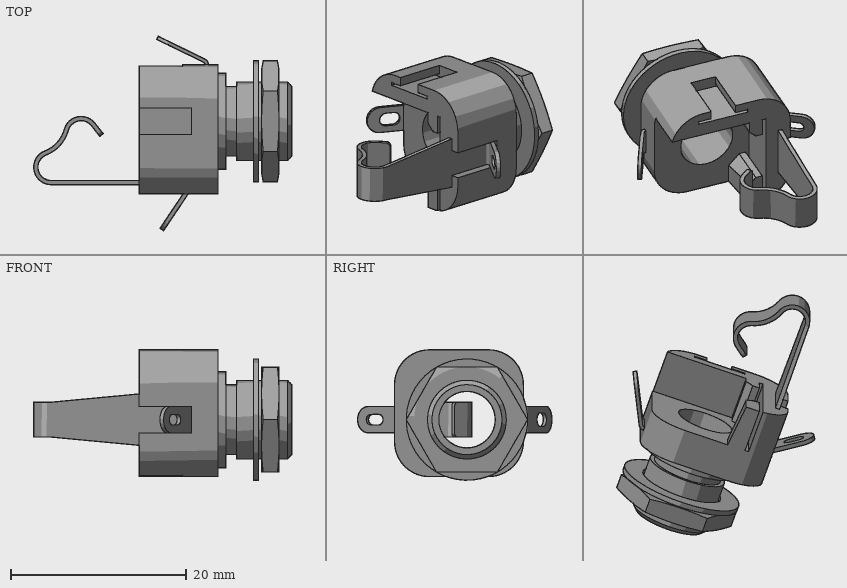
import cadquery as cq
import math

OVERLAP = 0.3

HOUSING_LENGTH = 9.0
HOUSING_TOP = 8.0
HOUSING_BOTTOM = -6.52
HOUSING_FRONT = -8.3
HOUSING_BACK = 6.45
HOUSING_CORNER_RADIUS = 4.0

CAVITY_DEPTH = 4.95
CAVITY_TOP = 5.0
CAVITY_FRONT = -5.25
HOOK_GAP = 0.45
HOOK_WIDTH = 1.6
HOOK_HALF_GAP = 2.95
HOOK_CHAMFER = 0.8
LOWER_HOOK_DRAFT = 0.5

SLOT_LENGTH = 6.0
T_SLOT_NECK_WIDTH = 3.0
T_SLOT_NECK_DEPTH = 1.0
T_SLOT_BASE_WIDTH = 6.07
T_SLOT_BASE_HEIGHT = 0.35
POCKET_DEPTH = 1.03

BORE_DIAMETER = 6.43
FLANGE_DIAMETER = 11.0
FLANGE_LENGTH = 0.88
NECK_DIAMETER = 8.0
NECK_LENGTH = 1.25
THREAD_DIAMETER = 9.0
BUSHING_END = 17.43
BUSHING_CHAMFER = (THREAD_DIAMETER - NECK_DIAMETER) / 2
NUT_START = 13.98
NUT_THICKNESS = 1.98
NUT_CORNER_DIAMETER = 13.85
NUT_CHAMFER = 0.18

WASHER_START = 13.03
WASHER_THICKNESS = 0.6
WASHER_OUTER_DIAMETER = NUT_CORNER_DIAMETER
WASHER_INNER_DIAMETER = 9.4

SHEET_THICKNESS = 0.5
SPRING_FACE = HOUSING_FRONT + POCKET_DEPTH
SPRING_TIP_HALF_WIDTH = 2.0
SPRING_ROOT_HALF_WIDTH = 2.95
CURL_RADIUS = 2.0
REVERSE_RADIUS = 3.95
LOWER_CURL = (-10.05, SPRING_FACE + CURL_RADIUS)
UPPER_CURL = (-6.64, -1.45)
SPRING_TIP_ANGLE = 38.0
SPRING_TIP_LENGTH = 1.53
SPRING_TIP_CORNER = 0.5

LUG_WIDTH = 3.05
FRONT_LUG_BEND_RADIUS = 0.25
FRONT_LUG_BEND = (5.22, SPRING_FACE - FRONT_LUG_BEND_RADIUS)
FRONT_LUG_LENGTH = 5.5
FRONT_LUG_TURN = 123.8
FRONT_LUG_HOLE = (2.3, 1.18)
FRONT_LUG_HOLE_FROM_TIP = 2.35
BACK_LUG_THICKNESS = 0.4
BACK_LUG_BEND_RADIUS = 0.32
BACK_LUG_BEND = (7.17, HOUSING_BACK)
BACK_LUG_LENGTH = 5.93
BACK_LUG_TURN = 64.0
BACK_LUG_HOLE = (2.42, 1.53)
BACK_LUG_HOLE_FROM_TIP = 2.68


def box(x_range, y_range, z_range):
    """Box between the given limits along each axis."""
    limits = (x_range, y_range, z_range)
    sizes = [high - low for low, high in limits]
    corner = tuple(low for low, high in limits)
    return cq.Workplane("XY").box(*sizes, centered=False).translate(corner)


def disc(start, length, diameter):
    """Cylinder on the X axis."""
    return cq.Workplane("YZ", origin=(start, 0, 0)).circle(diameter / 2).extrude(length)


def polar(center, radius, angle):
    """Point at an angle in degrees on a circle."""
    turn = math.radians(angle)
    return (center[0] + radius * math.cos(turn), center[1] + radius * math.sin(turn))


def make_hooks():
    """Two hooks in the cavity, one above and one below the bore axis."""
    outer = CAVITY_FRONT + HOOK_GAP
    inner = outer + HOOK_WIDTH

    def outline(side, end, growth):
        tip = side * HOOK_HALF_GAP
        chamfer_end = side * (HOOK_HALF_GAP + HOOK_CHAMFER + growth)
        return [
            (outer, end),
            (outer, tip),
            (inner - HOOK_CHAMFER, tip),
            (inner + growth, chamfer_end),
            (inner + growth, end),
        ]

    upper = cq.Workplane("YZ").polyline(outline(1, CAVITY_TOP, 0)).close().extrude(CAVITY_DEPTH)
    lower_end = HOUSING_BOTTOM - OVERLAP
    lower = (
        cq.Workplane("YZ")
        .polyline(outline(-1, lower_end, 0)).close()
        .workplane(offset=CAVITY_DEPTH)
        .polyline(outline(-1, lower_end, LOWER_HOOK_DRAFT)).close()
        .loft(ruled=True)
    )
    return upper, lower


def make_cavity():
    """Volume removed from the rear of the housing, with the hooks left standing."""
    cavity = box(
        (0, CAVITY_DEPTH),
        (CAVITY_FRONT, HOUSING_BACK + OVERLAP),
        (HOUSING_BOTTOM - OVERLAP, CAVITY_TOP),
    )
    for hook in make_hooks():
        cavity = cavity.cut(hook)
    return cavity


def make_t_slot():
    """T-shaped slot in the top face, open at the rear."""
    neck_floor = HOUSING_TOP - T_SLOT_NECK_DEPTH
    length = (-OVERLAP, SLOT_LENGTH)
    neck_half = T_SLOT_NECK_WIDTH / 2
    base_half = T_SLOT_BASE_WIDTH / 2
    neck = box(length, (-neck_half, neck_half), (neck_floor, HOUSING_TOP + OVERLAP))
    base = box(length, (-base_half, base_half), (neck_floor - T_SLOT_BASE_HEIGHT, neck_floor))
    return neck.union(base)


def make_lug_pocket():
    """Pocket in the front face around the front lug, open at the rear."""
    half = LUG_WIDTH / 2
    return box((-OVERLAP, SLOT_LENGTH), (HOUSING_FRONT - OVERLAP, SPRING_FACE), (-half, half))


def make_housing():
    """Rounded block with its cavity, slot and pocket."""
    block = box(
        (0, HOUSING_LENGTH), (HOUSING_FRONT, HOUSING_BACK), (HOUSING_BOTTOM, HOUSING_TOP)
    )
    block = block.edges("|X").fillet(HOUSING_CORNER_RADIUS)
    return block.cut(make_cavity()).cut(make_t_slot()).cut(make_lug_pocket())


def make_bushing():
    """Flange, neck and thread in front of the housing."""
    neck_start = HOUSING_LENGTH + FLANGE_LENGTH
    thread_start = neck_start + NECK_LENGTH
    flange = disc(HOUSING_LENGTH, FLANGE_LENGTH, FLANGE_DIAMETER)
    neck = disc(neck_start, NECK_LENGTH, NECK_DIAMETER)
    thread = disc(thread_start, BUSHING_END - thread_start, THREAD_DIAMETER)
    thread = thread.faces(">X").edges().chamfer(BUSHING_CHAMFER)
    return flange.union(neck).union(thread)


def make_nut():
    """Hexagon nut with corners on +Y and -Y, bevelled on both sides."""
    corner_radius = NUT_CORNER_DIAMETER / 2
    flat_radius = corner_radius * math.cos(math.pi / 6)
    nut_end = NUT_START + NUT_THICKNESS
    hexagon = cq.Workplane("YZ", origin=(NUT_START, 0, 0)).polygon(6, NUT_CORNER_DIAMETER)
    bevel_profile = [
        (NUT_START, 0),
        (NUT_START, flat_radius),
        (NUT_START + NUT_CHAMFER, corner_radius),
        (nut_end - NUT_CHAMFER, corner_radius),
        (nut_end, flat_radius),
        (nut_end, 0),
    ]
    bevel = cq.Workplane("XY").polyline(bevel_profile).close().revolve(360, (0, 0, 0), (1, 0, 0))
    return hexagon.extrude(NUT_THICKNESS).intersect(bevel)


def spring_tip(curl_radius):
    """End of the straight tip that leaves the upper curl at the given radius."""
    return polar(polar(UPPER_CURL, curl_radius, SPRING_TIP_ANGLE), SPRING_TIP_LENGTH, SPRING_TIP_ANGLE - 90)


def spring_strip():
    """Curled strip seen along Z, extruded to the full root width."""
    middle_radius = CURL_RADIUS - SHEET_THICKNESS / 2
    inner_radius = CURL_RADIUS - SHEET_THICKNESS
    reverse_inner = REVERSE_RADIUS - SHEET_THICKNESS / 2
    reverse_outer = REVERSE_RADIUS + SHEET_THICKNESS / 2

    span_x = UPPER_CURL[0] - LOWER_CURL[0]
    span_y = UPPER_CURL[1] - LOWER_CURL[1]
    span_angle = math.degrees(math.atan2(span_y, span_x))
    center_distance = middle_radius + REVERSE_RADIUS
    base_angle = math.degrees(math.acos(math.hypot(span_x, span_y) / 2 / center_distance))
    lower_angle = span_angle + base_angle
    upper_angle = span_angle + 180 - base_angle
    reverse_center = polar(LOWER_CURL, center_distance, lower_angle)

    lower_middle = (lower_angle + 270) / 2
    reverse_middle = span_angle - 90
    upper_middle = (upper_angle + SPRING_TIP_ANGLE) / 2
    root_x = FRONT_LUG_BEND[0]
    upper_outer_end = polar(UPPER_CURL, CURL_RADIUS, SPRING_TIP_ANGLE)
    upper_inner_end = polar(UPPER_CURL, inner_radius, SPRING_TIP_ANGLE)

    profile = (
        cq.Workplane("XY", origin=(0, 0, -SPRING_ROOT_HALF_WIDTH))
        .moveTo(root_x, SPRING_FACE)
        .lineTo(*polar(LOWER_CURL, CURL_RADIUS, 270))
        .threePointArc(
            polar(LOWER_CURL, CURL_RADIUS, lower_middle), polar(LOWER_CURL, CURL_RADIUS, lower_angle)
        )
        .threePointArc(
            polar(reverse_center, reverse_inner, reverse_middle),
            polar(UPPER_CURL, CURL_RADIUS, upper_angle),
        )
        .threePointArc(polar(UPPER_CURL, CURL_RADIUS, upper_middle), upper_outer_end)
        .lineTo(*spring_tip(CURL_RADIUS))
        .lineTo(*spring_tip(inner_radius))
        .lineTo(*upper_inner_end)
        .threePointArc(
            polar(UPPER_CURL, inner_radius, upper_middle), polar(UPPER_CURL, inner_radius, upper_angle)
        )
        .threePointArc(
            polar(reverse_center, reverse_outer, reverse_middle),
            polar(LOWER_CURL, inner_radius, lower_angle),
        )
        .threePointArc(
            polar(LOWER_CURL, inner_radius, lower_middle), polar(LOWER_CURL, inner_radius, 270)
        )
        .lineTo(root_x, SPRING_FACE + SHEET_THICKNESS)
        .close()
    )
    return profile.extrude(2 * SPRING_ROOT_HALF_WIDTH)


def blade_volume():
    """Tapered straight blade outline, widening from the curl to the housing."""
    return (
        cq.Workplane("XZ", origin=(0, LOWER_CURL[1], 0))
        .moveTo(LOWER_CURL[0], -SPRING_TIP_HALF_WIDTH)
        .lineTo(0, -SPRING_ROOT_HALF_WIDTH)
        .lineTo(FRONT_LUG_BEND[0], -SPRING_ROOT_HALF_WIDTH)
        .lineTo(FRONT_LUG_BEND[0], SPRING_ROOT_HALF_WIDTH)
        .lineTo(0, SPRING_ROOT_HALF_WIDTH)
        .lineTo(LOWER_CURL[0], SPRING_TIP_HALF_WIDTH)
        .close()
        .extrude(CURL_RADIUS + OVERLAP)
    )


def curl_volume():
    """Constant-width volume that holds the curled end of the spring."""
    half = SPRING_TIP_HALF_WIDTH
    return box(
        (LOWER_CURL[0] - CURL_RADIUS - OVERLAP, -OVERLAP),
        (SPRING_FACE - OVERLAP, UPPER_CURL[1] + CURL_RADIUS + OVERLAP),
        (-half, half),
    )


def make_spring():
    """Contact spring: tapered blade, double curl and a tip with rounded corners."""
    spring = spring_strip().intersect(blade_volume().union(curl_volume()))
    tip_middle = spring_tip(CURL_RADIUS - SHEET_THICKNESS / 2)
    half = SPRING_TIP_HALF_WIDTH
    tip_corners = [
        cq.selectors.NearestToPointSelector((*tip_middle, z))
        for z in (-half, half)
    ]
    return spring.edges(tip_corners[0] + tip_corners[1]).fillet(SPRING_TIP_CORNER)


def make_lug(thickness, bend_radius, length, turn, hole, hole_from_tip):
    """Lug along +X with a round end and a slotted hole; its root bends back about the Z axis."""
    half = LUG_WIDTH / 2
    outer_radius = bend_radius + thickness
    middle_angle = 90 + turn / 2
    end_angle = 90 + turn
    center = (0, 0)
    bend = (
        cq.Workplane("XY", origin=(0, 0, -half))
        .moveTo(*polar(center, bend_radius, 90))
        .threePointArc(polar(center, bend_radius, middle_angle), polar(center, bend_radius, end_angle))
        .lineTo(*polar(center, outer_radius, end_angle))
        .threePointArc(polar(center, outer_radius, middle_angle), polar(center, outer_radius, 90))
        .close()
        .extrude(LUG_WIDTH)
    )
    plate = (
        cq.Workplane("XZ", origin=(0, outer_radius, 0))
        .moveTo(0, -half)
        .lineTo(length - half, -half)
        .threePointArc((length, 0), (length - half, half))
        .lineTo(0, half)
        .close()
        .extrude(thickness)
    )
    slot = (
        cq.Workplane("XZ", origin=(length - hole_from_tip, outer_radius, 0))
        .slot2D(*hole)
        .extrude(thickness)
    )
    return bend.union(plate.cut(slot))


def make_front_lug():
    """Lug folded out of the spring through the front pocket."""
    lug = make_lug(
        SHEET_THICKNESS,
        FRONT_LUG_BEND_RADIUS,
        FRONT_LUG_LENGTH,
        FRONT_LUG_TURN,
        FRONT_LUG_HOLE,
        FRONT_LUG_HOLE_FROM_TIP,
    )
    return lug.rotate((0, 0, 0), (0, 0, 1), -FRONT_LUG_TURN).translate((*FRONT_LUG_BEND, 0))


def make_back_lug():
    """Lug leaving the back face of the housing and folded toward its open end."""
    lug = make_lug(
        BACK_LUG_THICKNESS,
        BACK_LUG_BEND_RADIUS,
        BACK_LUG_LENGTH,
        BACK_LUG_TURN,
        BACK_LUG_HOLE,
        BACK_LUG_HOLE_FROM_TIP,
    )
    lug = lug.mirror("YZ").rotate((0, 0, 0), (0, 0, 1), BACK_LUG_TURN - 90)
    return lug.translate((*BACK_LUG_BEND, 0))


def make_socket():
    """Housing, bushing, nut and contacts as one solid."""
    socket = make_housing().union(make_bushing()).union(make_nut())
    socket = socket.cut(disc(CAVITY_DEPTH, BUSHING_END - CAVITY_DEPTH, BORE_DIAMETER))
    for contact in (make_spring(), make_front_lug(), make_back_lug()):
        socket = socket.union(contact)
    return socket


def make_washer():
    """Flat washer, clear of the thread and the nut."""
    outer = disc(WASHER_START, WASHER_THICKNESS, WASHER_OUTER_DIAMETER)
    return outer.cut(disc(WASHER_START, WASHER_THICKNESS, WASHER_INNER_DIAMETER))


socket = make_socket()
washer = make_washer()
result = cq.Compound.makeCompound([socket.val(), washer.val()])